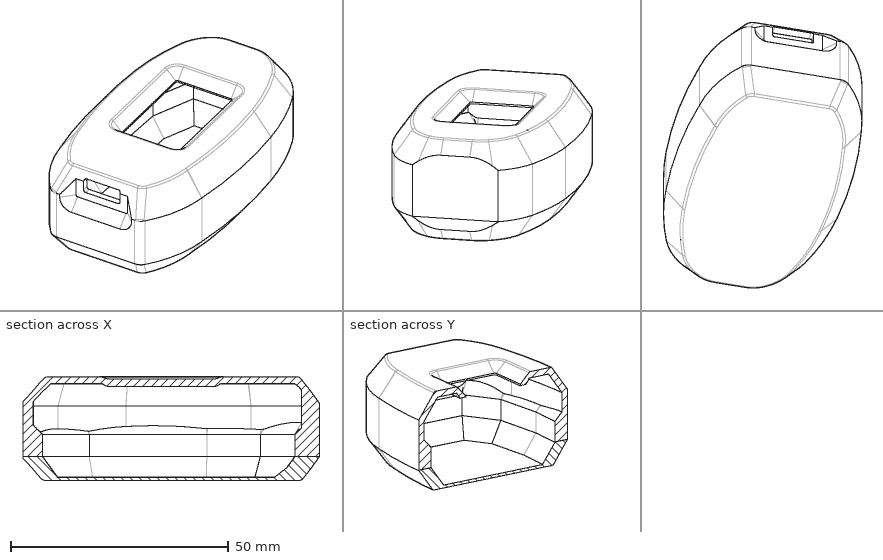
import cadquery as cq
import math

height = 23.9
split_z = 5.5
upper_break_z = 17.75
slope = 0.725
slope_angle = math.degrees(math.atan(slope))
rim_fillet = 0.75

front_y = -34.15
rear_y = 34.15
front_half = 11.75
side_front_mid = (16.8, -26.65)
side_front_end = (19.1, -18.6)
widest = (20.7, -2.7)
side_mid_end = (20.2, 10.6)
side_rear_mid = (18.8, 19.1)
shoulder = (16.4, 26.65)
shoulder_mid = (13.5, 31.3)
rear_corner = (9.15, 34.8)
rear_mid = (6.4, 35.8)
crown = (3.4, 36.15)
front_corner_radius = 2.9

wall = 1.65
cavity_front_y = -29.9
cavity_rear_y = 31.7
cavity_break_z = 17.2
ceiling_z = height - wall

well_half = [(10.6, -28.4), (16.0, -20.5), (17.4, -8.2), (16.4, 18.85), (11.95, 29.6)]
well_top_z = 10.6
well_flare_height = 2.7
lid_floor = 0.8

window_y = 2.25
window_width = 15.0
window_length = 24.85
window_corner_radius = 0.4
window_depth = 2.6
window_land = 0.4
window_bottom_z = height - window_depth - window_land

recess_back_y = -31.4
recess_half = 6.9
recess_bottom_z = 16.6
recess_corner_radius = 0.4
slot_width = 9.7
slot_bottom_z = 18.6
slot_top_z = 22.1
slot_corner_radius = 0.55
slot_end_y = -28.0

bevel_angle = 45
overshoot = 3.4
room = 136.6


def mirrored(point):
    """The same point on the left half."""
    return (-point[0], point[1])


def outline(z):
    """Closed plan outline at the widest level, drawn at height z."""
    return (
        cq.Workplane("XY", origin=(0, 0, z))
        .moveTo(-front_half, front_y)
        .lineTo(front_half, front_y)
        .threePointArc(side_front_mid, side_front_end)
        .threePointArc(widest, side_mid_end)
        .threePointArc(side_rear_mid, shoulder)
        .threePointArc(shoulder_mid, rear_corner)
        .threePointArc(rear_mid, crown)
        .lineTo(*mirrored(crown))
        .threePointArc(mirrored(rear_mid), mirrored(rear_corner))
        .threePointArc(mirrored(shoulder_mid), mirrored(shoulder))
        .threePointArc(mirrored(side_rear_mid), mirrored(side_mid_end))
        .threePointArc(mirrored(widest), mirrored(side_front_end))
        .threePointArc(mirrored(side_front_mid), (-front_half, front_y))
        .close()
    )


def block(y_min, y_max, z_min, z_max):
    """Trimming block between the given levels, wider than the part."""
    return cq.Workplane("XY", origin=(0, y_min, z_min)).box(
        room, y_max - y_min, z_max - z_min, centered=(True, False, False)
    )


def rounded_box(plane, origin, width, length, depth, radius, taper=0):
    """Prism with rounded corners along the plane normal; a negative taper widens it."""
    return (
        cq.Workplane(plane, origin=origin)
        .sketch()
        .rect(width, length)
        .vertices()
        .fillet(radius)
        .finalize()
        .extrude(depth, taper=taper)
    )


def well_outline(z):
    """Closed straight-sided outline of the well, drawn at height z."""
    left_half = [mirrored(point) for point in reversed(well_half)]
    return cq.Workplane("XY", origin=(0, 0, z)).polyline(well_half + left_half).close()


def outer_form():
    """Outside of the closed case: upright sides, sloped in above and below."""
    sides = outline(split_z).extrude(upper_break_z - split_z)
    upper = outline(upper_break_z).extrude(height - upper_break_z, taper=slope_angle)
    lower = outline(split_z).extrude(-split_z, taper=slope_angle)
    form = sides.union(upper).union(lower)

    corner_reach = slope * (height - upper_break_z)
    for side in (-1, 1):
        x_range = sorted((side * (front_half - corner_reach), side * (front_half + 0.7)))
        corner_box = cq.selectors.BoxSelector(
            (x_range[0], front_y - 0.7, 0), (x_range[1], front_y + corner_reach, height)
        )
        form = form.edges(corner_box).fillet(front_corner_radius)
    form = form.faces(">Z or <Z").edges().fillet(rim_fillet)

    return form.intersect(block(front_y - overshoot, rear_y, 0, height))


def cavity():
    """Hollow of the housing: a well that flares out to follow the outside, with a sloped top."""
    sides = outline(split_z).offset2D(-wall, "intersection").extrude(cavity_break_z - split_z)
    top = (
        outline(cavity_break_z)
        .offset2D(-wall, "intersection")
        .extrude(ceiling_z - cavity_break_z, taper=slope_angle)
    )
    hollow = sides.union(top).intersect(block(cavity_front_y, cavity_rear_y, split_z, ceiling_z))

    flare_end_z = well_top_z + well_flare_height
    well = well_outline(split_z).extrude(well_top_z - split_z)
    flare = well_outline(well_top_z).extrude(well_flare_height, taper=-bevel_angle)
    above = block(-room / 2, room / 2, flare_end_z, height)
    return hollow.intersect(well.union(flare).union(above))


def window_frame():
    """Collar that hangs from the ceiling around the window."""
    return rounded_box(
        "XY",
        (0, window_y, window_bottom_z),
        window_width + 2 * wall,
        window_length + 2 * wall,
        ceiling_z - window_bottom_z,
        window_corner_radius + wall,
        taper=-slope_angle,
    )


def cut_window(body):
    """Body with the window cut through its top and the window rim rounded."""
    land = rounded_box(
        "XY",
        (0, window_y, window_bottom_z - overshoot),
        window_width,
        window_length,
        window_land + overshoot,
        window_corner_radius,
    )
    funnel = rounded_box(
        "XY",
        (0, window_y, height - window_depth),
        window_width,
        window_length,
        window_depth,
        window_corner_radius,
        taper=-bevel_angle,
    )
    rim_half_x = window_width / 2 + window_depth + rim_fillet
    rim_half_y = window_length / 2 + window_depth + rim_fillet
    window_rim = cq.selectors.BoxSelector(
        (-rim_half_x, window_y - rim_half_y, height - rim_fillet),
        (rim_half_x, window_y + rim_half_y, height + rim_fillet),
    )
    return body.cut(land).cut(funnel).faces(">Z").edges(window_rim).fillet(rim_fillet)


def front_recess():
    """Recess open to the front and to the slope above it."""
    recess_height = height + overshoot - recess_bottom_z
    return rounded_box(
        "XZ",
        (0, recess_back_y, recess_bottom_z + recess_height / 2),
        2 * recess_half,
        recess_height,
        recess_back_y - front_y + overshoot,
        recess_corner_radius,
        taper=-bevel_angle,
    )


def front_slot():
    """Rounded slot from the recess into the cavity."""
    return rounded_box(
        "XZ",
        (0, slot_end_y, (slot_bottom_z + slot_top_z) / 2),
        slot_width,
        slot_top_z - slot_bottom_z,
        slot_end_y - front_y,
        slot_corner_radius,
    )


def make_housing(form):
    """Upper body: hollow, with the window above and the slot in front."""
    shell = form.intersect(block(-room / 2, room / 2, split_z, height))
    shell = shell.cut(cavity().cut(window_frame()))
    shell = cut_window(shell)
    return shell.cut(front_recess()).cut(front_slot())


def make_lid(form):
    """Lower body: a plate with a shallow dish under the well."""
    dish = well_outline(split_z).extrude(lid_floor - split_z, taper=slope_angle)
    return form.intersect(block(-room / 2, room / 2, 0, split_z)).cut(dish)


case_form = outer_form()
housing = make_housing(case_form)
lid = make_lid(case_form)

result = cq.Compound.makeCompound([housing.val(), lid.val()])